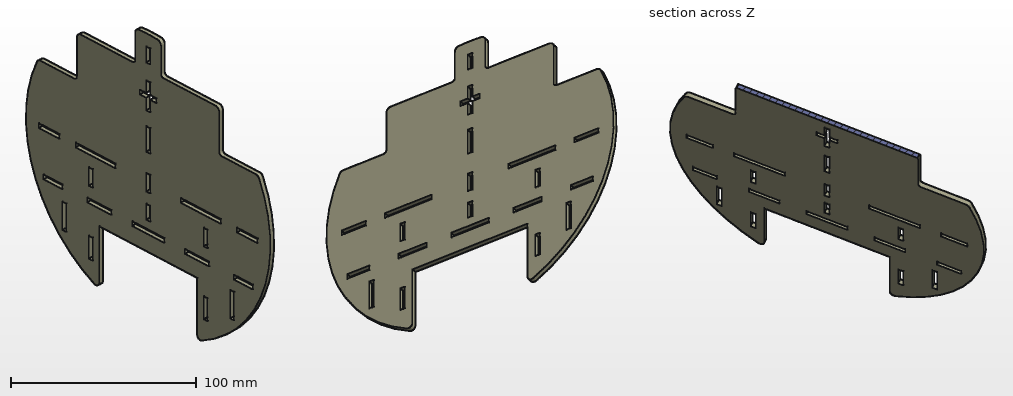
import cadquery as cq
import math

thickness = 3.0
disc_radius = 92.7

tab_half_width = 9.8
tab_end_radius = 93.2
step_half_width = 54.0
step_z = 70.5
shoulder_z = 40.4

notch_half_width = 37.0
notch_top_z = -45.0

outer_fillet = 3.0
leg_fillet = 2.6
inner_fillet = 2.0

slot_width = 3.0

upper_row_z = -1.3
lower_row_z = -32.2
cross_z = 53.7

centre_upright_slots = [
    (79.7, 10.0),
    (cross_z, 18.9),
    (26.1, 16.1),
    (upper_row_z, 11.7),
    (-20.0, 10.0),
]
cross_arm = (cross_z, 12.5)
centre_lower_slot = (lower_row_z, 24.3)
centre_level_slots = [cross_arm, centre_lower_slot]

inner_upright_x = 43.5
side_upright_slots = [
    (inner_upright_x, -16.9, 11.7),
    (inner_upright_x, -61.7, 14.5),
    (63.5, -50.5, 18.0),
]
side_level_slots = [
    (39.8, upper_row_z, 30.2),
    (75.0, upper_row_z, 15.5),
    (37.0, lower_row_z, 18.2),
    (72.0, lower_row_z, 14.3),
]


def chord_half(radius, distance):
    """Half the chord of a circle at a distance from its centre."""
    return math.sqrt(radius**2 - distance**2)


tab_top = (tab_half_width, chord_half(tab_end_radius, tab_half_width))
tab_foot = (tab_half_width, step_z)
step_top = (step_half_width, step_z)
step_foot = (step_half_width, shoulder_z)
shoulder_tip = (chord_half(disc_radius, shoulder_z), shoulder_z)
leg_tip = (notch_half_width, -chord_half(disc_radius, notch_half_width))
notch_corner = (notch_half_width, notch_top_z)


def mirrored(point):
    return (-point[0], point[1])


def make_blank():
    """Plate outline with sharp corners; all its arcs are centred on the origin."""
    return (
        cq.Workplane("XZ")
        .moveTo(*mirrored(tab_top))
        .threePointArc((0, tab_end_radius), tab_top)
        .lineTo(*tab_foot)
        .lineTo(*step_top)
        .lineTo(*step_foot)
        .lineTo(*shoulder_tip)
        .threePointArc((disc_radius, 0), leg_tip)
        .lineTo(*notch_corner)
        .lineTo(*mirrored(notch_corner))
        .lineTo(*mirrored(leg_tip))
        .threePointArc((-disc_radius, 0), mirrored(shoulder_tip))
        .lineTo(*mirrored(step_foot))
        .lineTo(*mirrored(step_top))
        .lineTo(*mirrored(tab_foot))
        .close()
        .extrude(thickness / 2, both=True)
    )


def round_corners(plate, corners, radius):
    """Round the given corners and their mirror images."""
    for corner in corners:
        for x, z in (corner, mirrored(corner)):
            nearest = cq.selectors.NearestToPointSelector((x, 0, z))
            plate = plate.edges("|Y").edges(nearest).fillet(radius)
    return plate


def cut_slot(plate, x, z, size_x, size_z):
    """Cut a rectangular slot through the plate, centred on x and z."""
    cutter = cq.Workplane("XY").box(size_x, 2 * thickness, size_z).translate((x, 0, z))
    return plate.cut(cutter)


result = make_blank()
result = round_corners(result, [tab_top, step_top, shoulder_tip], outer_fillet)
result = round_corners(result, [leg_tip], leg_fillet)
result = round_corners(result, [tab_foot, step_foot], inner_fillet)

for slot_z, length in centre_upright_slots:
    result = cut_slot(result, 0, slot_z, slot_width, length)
for slot_z, length in centre_level_slots:
    result = cut_slot(result, 0, slot_z, length, slot_width)

for side in (-1, 1):
    for slot_x, slot_z, length in side_upright_slots:
        result = cut_slot(result, side * slot_x, slot_z, slot_width, length)
    for slot_x, slot_z, length in side_level_slots:
        result = cut_slot(result, side * slot_x, slot_z, length, slot_width)